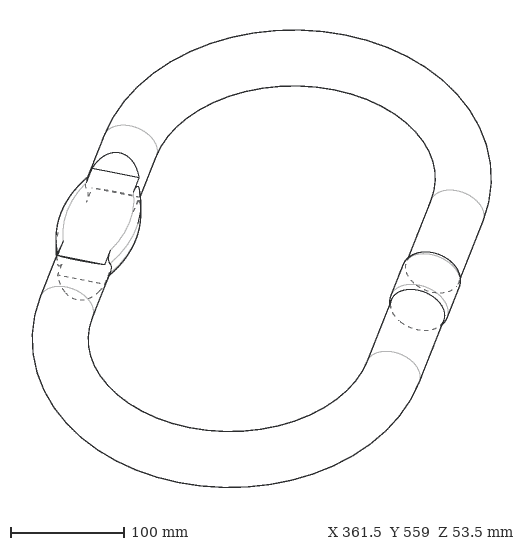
import cadquery as cq
import math

ring_length = 559.0
ring_width = 350.0
rod_diameter = 50.0
rod_radius = rod_diameter / 2
bend_radius = (ring_width - rod_diameter) / 2
straight_half = (ring_length - ring_width) / 2

flat_length = 113.0
flat_thickness = 24.5
flat_ramp_length = 139.0
plate_width = 69.5
plate_side_radius = 114.5
plate_edge_fillet = 6.0

sleeve_diameter = 53.5
sleeve_length = 48.5
sleeve_land = 39.5


def oblong_ring():
    path = (
        cq.Workplane("XY")
        .moveTo(bend_radius, -straight_half)
        .lineTo(bend_radius, straight_half)
        .threePointArc((0, straight_half + bend_radius), (-bend_radius, straight_half))
        .lineTo(-bend_radius, -straight_half)
        .threePointArc((0, -straight_half - bend_radius), (bend_radius, -straight_half))
        .close()
    )
    section = cq.Workplane("XZ", origin=(bend_radius, -straight_half, 0))
    return section.circle(rod_radius).sweep(path)


def flat_notch(side):
    """Trapezoidal cutter that flattens the top (side 1) or bottom (side -1) of the leg."""
    depth = side * flat_thickness / 2
    surface = side * rod_radius
    slope = (flat_ramp_length - flat_length) / (2 * (rod_radius - flat_thickness / 2))
    clearance = 5.5
    mouth_half = flat_ramp_length / 2 + slope * clearance
    mouth = surface + side * clearance
    return (
        cq.Workplane("YZ", origin=(-bend_radius, 0, 0))
        .moveTo(-flat_length / 2, depth)
        .lineTo(flat_length / 2, depth)
        .lineTo(mouth_half, mouth)
        .lineTo(-mouth_half, mouth)
        .close()
        .extrude(rod_diameter, both=True)
    )


def bulged_plate():
    """Plate with arc-shaped long sides and rounded long edges."""
    end_y = flat_length / 2
    mid_half = plate_width / 2
    end_half = mid_half - plate_side_radius + math.sqrt(plate_side_radius**2 - end_y**2)
    return (
        cq.Workplane("XY", origin=(-bend_radius, 0, -flat_thickness / 2))
        .moveTo(end_half, -end_y)
        .threePointArc((mid_half, 0), (end_half, end_y))
        .lineTo(-end_half, end_y)
        .threePointArc((-mid_half, 0), (-end_half, -end_y))
        .close()
        .extrude(flat_thickness)
        .edges("%CIRCLE")
        .fillet(plate_edge_fillet)
    )


def sleeve():
    """Collar around the leg whose ends are rounded down to the rod surface."""
    step = sleeve_diameter / 2 - rod_radius
    end_run = (sleeve_length - sleeve_land) / 2
    arc_radius = (end_run**2 + step**2) / (2 * step)
    arc_mid_y = sleeve_land / 2 + end_run / 2
    arc_mid_r = sleeve_diameter / 2 - arc_radius + math.sqrt(arc_radius**2 - (end_run / 2) ** 2)
    return (
        cq.Workplane("XY", origin=(bend_radius, 0, 0))
        .moveTo(0, -sleeve_length / 2)
        .lineTo(rod_radius, -sleeve_length / 2)
        .threePointArc((arc_mid_r, -arc_mid_y), (sleeve_diameter / 2, -sleeve_land / 2))
        .lineTo(sleeve_diameter / 2, sleeve_land / 2)
        .threePointArc((arc_mid_r, arc_mid_y), (rod_radius, sleeve_length / 2))
        .lineTo(0, sleeve_length / 2)
        .close()
        .revolve(360, (0, 0, 0), (0, 1, 0))
    )


flattened_ring = oblong_ring()
for side in (1, -1):
    flattened_ring = flattened_ring.cut(flat_notch(side))

result = flattened_ring.union(bulged_plate()).union(sleeve())